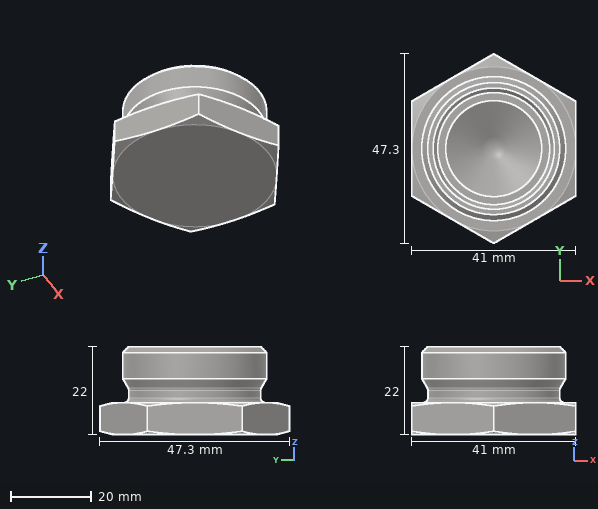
import cadquery as cq
import math

HEX_SIDES = 6
HALF_SECTOR_ANGLE = 180.0 / HEX_SIDES
HEX_ACROSS_FLATS = 41.0
HEX_HEIGHT = 8.0
HEX_CHAMFER_ANGLE = 15.0
CORNER_CLEARANCE = 1.0

TOTAL_HEIGHT = 22.0
BODY_DIAMETER = 36.0
NECK_DIAMETER = 33.0
TOP_CHAMFER = 1.5
BODY_BOTTOM_Z = 14.0
RUNOUT_ANGLE = 30.0
GROOVE_FILLET = 1.2

MOUTH_DIAMETER = 30.3
CONE_HALF_ANGLE = 12.0
SOCKET_DIAMETER = 28.0
SOCKET_DEPTH = 7.5
BORE_DIAMETER = 24.0
BORE_DEPTH = 12.5
DRILL_POINT_ANGLE = 118.0


def tan_deg(angle):
    return math.tan(math.radians(angle))


def revolve_about_z(profile):
    """Revolve a closed (radius, z) profile drawn in the XZ plane about Z."""
    return profile.close().revolve(360, (0, 0, 0), (0, 1, 0))


def make_hex_head():
    """Hexagon with two flats facing X and conical chamfers on both ends."""
    flat_radius = HEX_ACROSS_FLATS / 2
    corner_radius = flat_radius / math.cos(math.radians(HALF_SECTOR_ANGLE))
    prism = (
        cq.Workplane("XY")
        .polygon(HEX_SIDES, 2 * corner_radius)
        .extrude(HEX_HEIGHT)
        .rotate((0, 0, 0), (0, 0, 1), HALF_SECTOR_ANGLE)
    )
    rim_radius = corner_radius + CORNER_CLEARANCE
    drop = (rim_radius - flat_radius) * tan_deg(HEX_CHAMFER_ANGLE)
    envelope = revolve_about_z(
        cq.Workplane("XZ")
        .moveTo(0, 0)
        .lineTo(flat_radius, 0)
        .lineTo(rim_radius, drop)
        .lineTo(rim_radius, HEX_HEIGHT - drop)
        .lineTo(flat_radius, HEX_HEIGHT)
        .lineTo(0, HEX_HEIGHT)
    )
    return prism.intersect(envelope)


def make_body():
    """Round body with a top chamfer, standing on a filleted relief neck."""
    body_radius = BODY_DIAMETER / 2
    neck_radius = NECK_DIAMETER / 2
    neck_top_z = BODY_BOTTOM_Z - (body_radius - neck_radius) / tan_deg(RUNOUT_ANGLE)

    tangent_length = GROOVE_FILLET * tan_deg(RUNOUT_ANGLE / 2)
    runout = math.radians(RUNOUT_ANGLE)
    fillet_start = (neck_radius, neck_top_z - tangent_length)
    fillet_end = (
        neck_radius + tangent_length * math.sin(runout),
        neck_top_z + tangent_length * math.cos(runout),
    )

    return revolve_about_z(
        cq.Workplane("XZ")
        .moveTo(0, HEX_HEIGHT)
        .lineTo(neck_radius + GROOVE_FILLET, HEX_HEIGHT)
        .radiusArc((neck_radius, HEX_HEIGHT + GROOVE_FILLET), GROOVE_FILLET)
        .lineTo(*fillet_start)
        .radiusArc(fillet_end, GROOVE_FILLET)
        .lineTo(body_radius, BODY_BOTTOM_Z)
        .lineTo(body_radius, TOTAL_HEIGHT - TOP_CHAMFER)
        .lineTo(body_radius - TOP_CHAMFER, TOTAL_HEIGHT)
        .lineTo(0, TOTAL_HEIGHT)
    )


def make_bore():
    """Conical mouth, cylindrical socket and smaller bore with a drill point."""
    mouth_radius = MOUTH_DIAMETER / 2
    socket_radius = SOCKET_DIAMETER / 2
    bore_radius = BORE_DIAMETER / 2
    cone_bottom_z = TOTAL_HEIGHT - (mouth_radius - socket_radius) / tan_deg(CONE_HALF_ANGLE)
    socket_z = TOTAL_HEIGHT - SOCKET_DEPTH
    bore_z = TOTAL_HEIGHT - BORE_DEPTH
    tip_z = bore_z - bore_radius / tan_deg(DRILL_POINT_ANGLE / 2)
    return revolve_about_z(
        cq.Workplane("XZ")
        .moveTo(0, TOTAL_HEIGHT)
        .lineTo(mouth_radius, TOTAL_HEIGHT)
        .lineTo(socket_radius, cone_bottom_z)
        .lineTo(socket_radius, socket_z)
        .lineTo(bore_radius, socket_z)
        .lineTo(bore_radius, bore_z)
        .lineTo(0, tip_z)
    )


result = make_hex_head().union(make_body()).cut(make_bore())